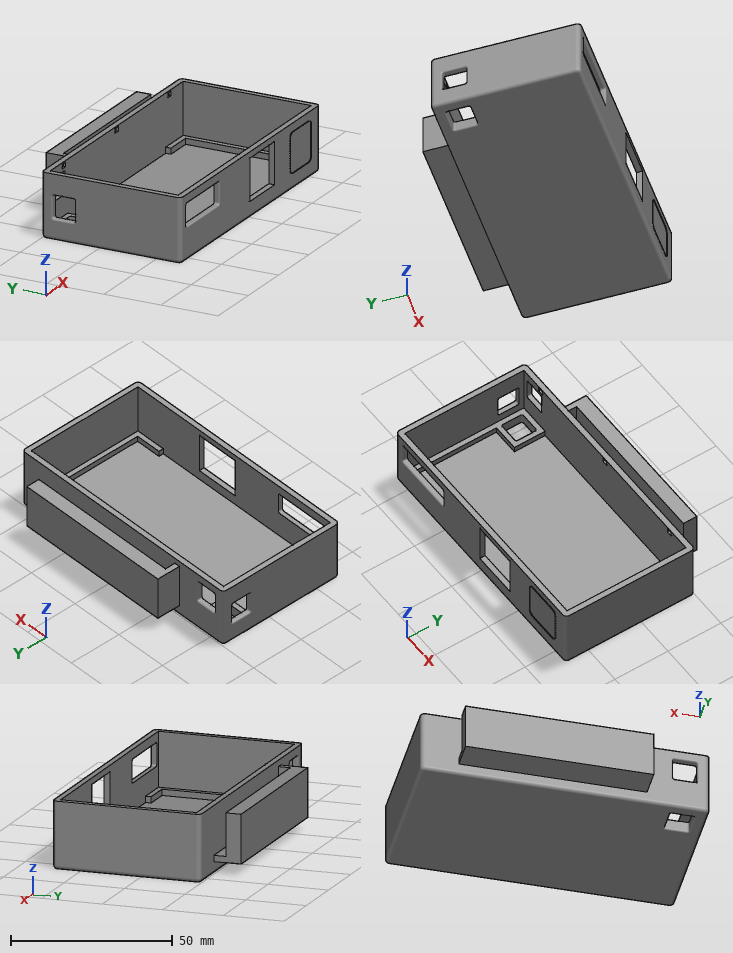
import cadquery as cq

length = 92.0
overall_width = 58.0
width = 48.9
height = 22.0
wall = 2.0
floor = 2.0
corner_radius = 1.5
base_radius = 1.2

ledge = 1.8
ledge_height = 2.0

port_size = 7.9
port_inset = wall + ledge
port_radius = 0.6
left_port_bottom = 7.0
rim_radius = 0.55
selection_margin = 0.1
support_length = port_size + 2 * ledge

slot_left = 3.5
slot_length = 22.2
slot_height = 7.7
slot_top = height - 3.1
slot_bottom = slot_top - slot_height
window_left = 45.5
window_width = 16.4
window_bottom = 5.5
window_height = 14.35
back_port_bottom = slot_top - port_size

panel_left = 72.4
panel_bottom = 5.2
panel_width = 14.0
panel_height = 13.7
panel_radius = 1.75
panel_depth = 0.3

catch_spacing = 35.0
catch_width = 2.0
catch_height = 1.5
catch_depth = 0.7
catch_top = height - 0.55

rail_left = 20.1
rail_length = 60.0
rail_depth = overall_width - width
rail_height = 16.0
rail_top = height - 2.0
rail_plate = 5.1
rail_end = 2.0
rail_floor = 2.0


def block(x, y, z, dx, dy, dz):
    """Box given by its minimum corner and its sizes."""
    return cq.Workplane("XY").box(dx, dy, dz, centered=False).translate((x, y, z))


def make_shell():
    outer = block(0, 0, 0, length, width, height)
    outer = outer.edges("|Z").fillet(corner_radius)
    outer = outer.faces("<Z").edges().fillet(base_radius)
    cavity = block(wall, wall, floor, length - 2 * wall, width - 2 * wall, height)
    return outer.cut(cavity)


def make_supports():
    """Ledges along both short walls, turning the corners, with a full pad at the back left."""
    inner_length = length - 2 * wall
    inner_width = width - 2 * wall
    ledge_edge = wall + ledge
    frame = block(wall, wall, floor, inner_length, inner_width, ledge_height)
    opening = block(
        ledge_edge, ledge_edge, floor,
        inner_length - 2 * ledge, inner_width - 2 * ledge, ledge_height,
    )
    gap = block(
        wall + support_length, wall, floor,
        inner_length - 2 * support_length, inner_width, ledge_height,
    )
    pad = block(
        wall, width - wall - support_length, floor,
        support_length, support_length, ledge_height,
    )
    return frame.cut(opening).cut(gap).union(pad)


def make_rail():
    """Bar behind the back wall with a groove open at the top and at the right end."""
    bottom = rail_top - rail_height
    bar = block(rail_left, width - wall / 2, bottom, rail_length, rail_depth + wall / 2, rail_height)
    groove = block(
        rail_left + rail_end, width, bottom + rail_floor,
        rail_length - rail_end, rail_depth - rail_plate, rail_height - rail_floor,
    )
    return bar.cut(groove)


def rounded_cutter(x, y, z, dx, dy, dz, axis):
    """Cutter with rounded corners, passing along the given axis."""
    return block(x, y, z, dx, dy, dz).edges("|" + axis).fillet(port_radius)


def cut_port(body, cutter, outer_face):
    """Cut an opening through one wall and round its rim on the outer face of the case."""
    box = cutter.val().BoundingBox().enlarge(selection_margin)
    low_corner = (box.xmin, box.ymin, box.zmin)
    high_corner = (box.xmax, box.ymax, box.zmax)
    around_opening = cq.selectors.BoxSelector(low_corner, high_corner)
    return body.cut(cutter).faces(outer_face).edges(around_opening).fillet(rim_radius)


port_y = width - port_inset - port_size
floor_port = rounded_cutter(port_inset, port_y, 0, port_size, port_size, floor + ledge_height, "Z")
left_port = rounded_cutter(0, port_y, left_port_bottom, wall, port_size, port_size, "X")
back_port = rounded_cutter(port_inset, width - wall, back_port_bottom, port_size, wall, port_size, "Y")
front_slot = rounded_cutter(slot_left, 0, slot_bottom, slot_length, wall, slot_height, "Y")

result = make_shell().union(make_supports())
result = cut_port(result, floor_port, "<Z")
result = cut_port(result, left_port, "<X")
result = cut_port(result, back_port, ">Y")
result = cut_port(result, front_slot, "<Y")

result = result.cut(block(window_left, 0, window_bottom, window_width, wall, window_height))
panel = block(panel_left, 0, panel_bottom, panel_width, panel_depth, panel_height)
result = result.cut(panel.edges("|Y").fillet(panel_radius))

catch_bottom = catch_top - catch_height
for step in (-1, 0, 1):
    catch_left = length / 2 + step * catch_spacing - catch_width / 2
    catch = block(catch_left, width - wall, catch_bottom, catch_width, catch_depth, catch_height)
    result = result.cut(catch)

result = result.union(make_rail())